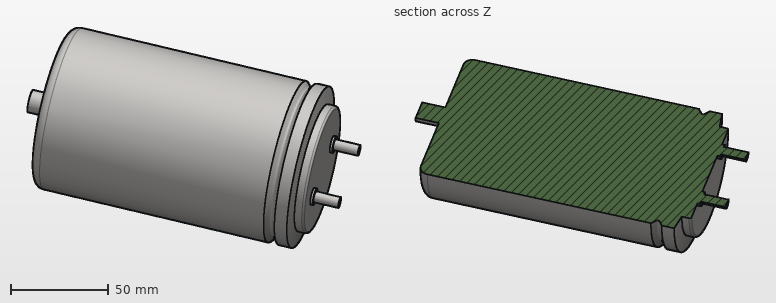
import cadquery as cq

stud_length = 12.5
groove_start = 137.7
groove_end = 143.5
rim_end = 150.1
cover_start = 151.5
cover_end = 156.5
collar_length = 1.4
total_length = 171.0

can_radius = 42.8
can_end_fillet = 5.0
groove_depth = 3.0
groove_wall_slope = 1.2
cover_radius = 33.7
cover_fillet = 1.2
stud_radius = 6.0
collar_radius = 4.5
pin_radius = 2.9
pin_offset = 17.6

start_x = -total_length / 2


def rod(x_from, x_to, radius, y=0.0):
    """Cylinder along X between two stations."""
    plane = cq.Workplane("YZ", origin=(start_x + x_from, y, 0))
    return plane.circle(radius).extrude(x_to - x_from)


def can():
    """Can with a rolled groove and a rim whose end face slopes to the cover."""
    groove_middle = (groove_start + groove_end) / 2
    groove_bottom = can_radius - groove_depth
    wall_in = (1, -groove_wall_slope)
    wall_out = (1, groove_wall_slope)
    profile = (
        cq.Workplane("XY", origin=(start_x, 0, 0))
        .moveTo(stud_length, 0)
        .lineTo(stud_length, can_radius)
        .lineTo(groove_start, can_radius)
        .spline(
            [(groove_middle, groove_bottom), (groove_end, can_radius)],
            tangents=[wall_in, wall_out],
            includeCurrent=True,
        )
        .lineTo(rim_end, can_radius)
        .lineTo(cover_start, cover_radius)
        .lineTo(cover_start, 0)
        .close()
    )
    body = profile.revolve(360, (0, 0, 0), (1, 0, 0))
    return body.faces("<X").edges().fillet(can_end_fillet)


def cover():
    """Raised round cover with a rounded outer edge."""
    return rod(cover_start, cover_end, cover_radius).faces(">X").edges().fillet(cover_fillet)


def terminal(y):
    """Pin standing on a short collar."""
    collar = rod(cover_end, cover_end + collar_length, collar_radius, y)
    return collar.union(rod(cover_end, total_length, pin_radius, y))


result = can().union(cover()).union(rod(0, stud_length, stud_radius))
for side in (-1, 1):
    result = result.union(terminal(side * pin_offset))